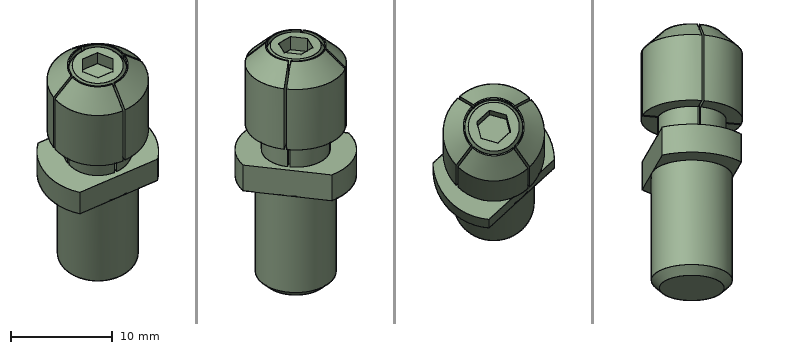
import cadquery as cq

total_height = 27.0
flange_bottom = 12.0
flange_thickness = 3.0
neck_height = 3.0
cone_height = 2.0
flange_top = flange_bottom + flange_thickness
head_bottom = flange_top + neck_height
shoulder_height = total_height - cone_height

shaft_radius = 4.0
shaft_chamfer = 0.8
flange_radius = 6.0
neck_radius = 3.4
head_radius = 5.0
head_top_radius = 3.0

screw_radius = 2.85
screw_top_radius = 2.5
screw_chamfer_height = 0.5
hex_across_flats = 3.0
hex_depth = 1.5

slit_width = 0.25


def cylinder(radius, bottom, height):
    """Solid cylinder on the Z axis."""
    return cq.Workplane("XY").workplane(offset=bottom).circle(radius).extrude(height)


def make_shaft():
    """Shaft with a chamfered lower end."""
    return cylinder(shaft_radius, 0, flange_bottom).faces("<Z").chamfer(shaft_chamfer)


def make_flange():
    """Round flange with two flats flush with the sides of the shaft."""
    disc = cylinder(flange_radius, flange_bottom, flange_thickness)
    flats = (
        cq.Workplane("XY")
        .workplane(offset=flange_bottom)
        .rect(2 * shaft_radius, 2 * flange_radius)
        .extrude(flange_thickness)
    )
    return disc.intersect(flats)


def make_split_head():
    """Neck and conical head, bored for the screw and split into quarters."""
    profile = [
        (0, flange_top),
        (neck_radius, flange_top),
        (neck_radius, head_bottom),
        (head_radius, head_bottom),
        (head_radius, shoulder_height),
        (head_top_radius, total_height),
        (0, total_height),
    ]
    head = cq.Workplane("XZ").polyline(profile).close().revolve(360, (0, 0), (0, 1))
    split_height = total_height - flange_top
    head = head.cut(cylinder(screw_radius, flange_top, split_height))
    for length_x, length_y in ((2 * head_radius, slit_width), (slit_width, 2 * head_radius)):
        slit = (
            cq.Workplane("XY")
            .workplane(offset=flange_top)
            .rect(length_x, length_y)
            .extrude(split_height)
        )
        head = head.cut(slit)
    return head


def make_screw():
    """Screw with a chamfered top edge and a hexagonal socket."""
    screw = cylinder(screw_radius, flange_top, total_height - flange_top)
    edge_width = screw_radius - screw_top_radius
    screw = screw.faces(">Z").chamfer(screw_chamfer_height, edge_width)
    socket = (
        cq.Workplane("XY")
        .workplane(offset=total_height - hex_depth)
        .polygon(6, hex_across_flats, circumscribed=True)
        .extrude(hex_depth)
    )
    return screw.cut(socket)


result = make_shaft().union(make_flange()).union(make_split_head()).union(make_screw())